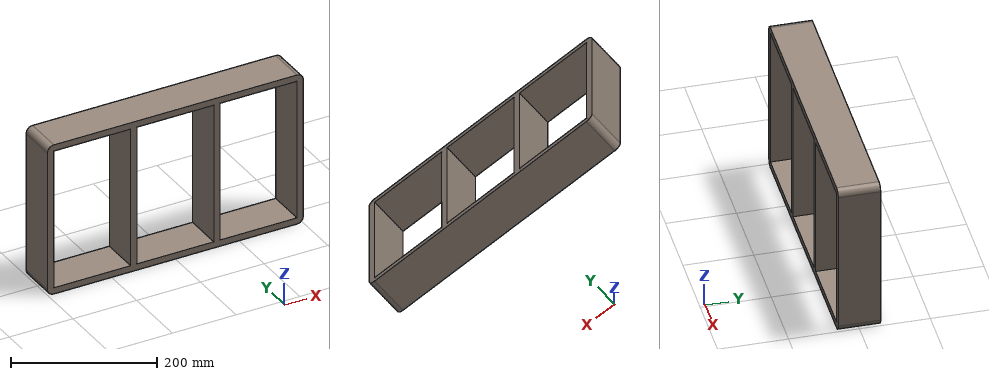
import cadquery as cq

length = 401.5
depth = 60.0
height = 238.0
wall = 10.0
corner_radius = 10.0
window_count = 3

window_width = (length - (window_count + 1) * wall) / window_count
window_height = height - 2 * wall
window_pitch = window_width + wall

frame = cq.Workplane("XY").box(length, depth, height).edges("|Y").fillet(corner_radius)

windows = (
    cq.Workplane("XZ")
    .rarray(window_pitch, 4, window_count, 1)
    .rect(window_width, window_height)
    .extrude(depth, both=True)
)

result = frame.cut(windows)